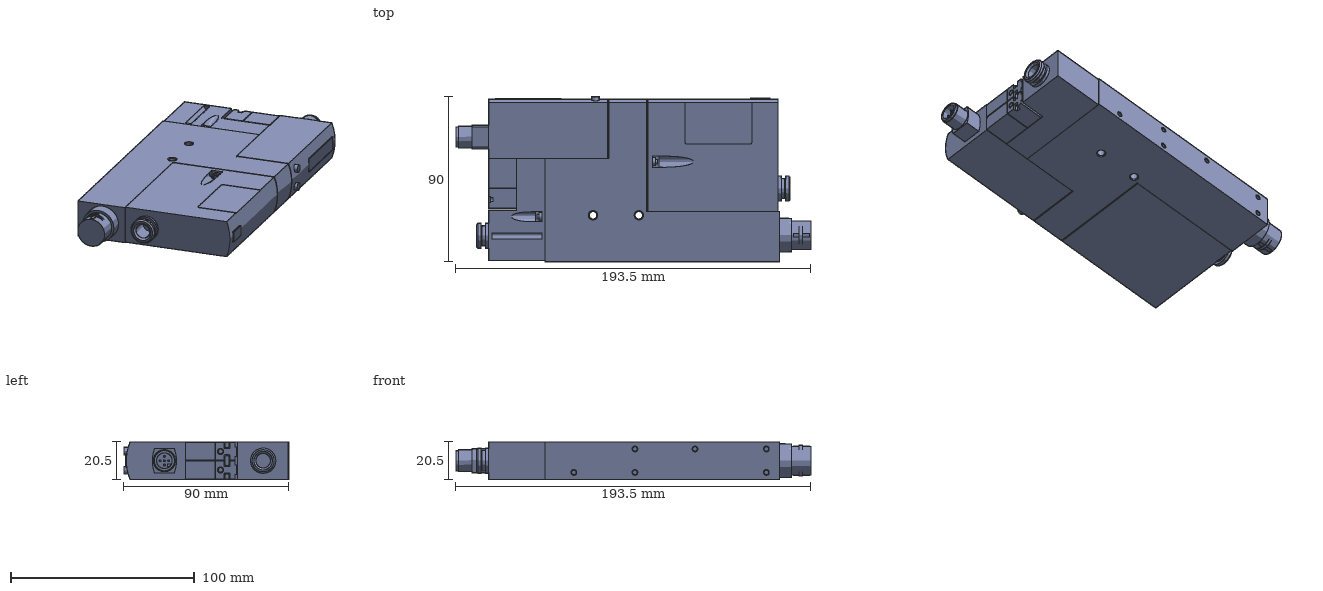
import cadquery as cq
import math


THICKNESS = 20.5
HALF = THICKNESS / 2
BASE_RIGHT = 158.5
SUCTION_RIGHT = 157.8
BACK_EDGE = 86.7
BACK_CROWN = 88.7
OVERSHOOT = 2.0

SEAM_GAP = 0.5
MODULE_FRONT = 56.3
MODULE_RIGHT = 64.9
WEB_LEFT = MODULE_RIGHT + SEAM_GAP
WEB_RIGHT = 86.2
SUCTION_LEFT = WEB_RIGHT + SEAM_GAP
SUCTION_FRONT = 27.5
VALVE_BLOCK_RIGHT = 30.8
VALVE_BLOCK_FRONT = 0.5

MOUNT_X = (57.0, 81.9)
MOUNT_Y = 25.4
MOUNT_DIA = 4.0
MOUNT_MOUTH_DIA = 5.0
TAP_DIA = 2.5
TAP_MOUTH_DIA = 3.1
TAP_DEPTH = 5.8
TAP_Z = 6.4
TAP_X_UPPER = (79.8, 112.5, 151.4)
TAP_X_LOWER = (46.5, 79.8, 151.4)

SILENCER_Y = 14.5
SILENCER_LENGTH = 17.2
SILENCER_DIA = 15.7
COLLAR_LENGTH = 6.5
COLLAR_DIA = 18.5
COLLAR_MIDDLE_DIA = 18.5
COLLAR_TIP_DIA = 18.2
CATCH_START = 10.6
CATCH_WIDTH = 1.7
CATCH_DIA = 12.5
CATCH_HEIGHT = 0.5
RAIL_START = 7.7
RAIL_END = 16.3
RAIL_WIDTH = 2.0
RAIL_HEIGHT = 0.2

PLUG_Y = 68.0
PLUG_LENGTH = 17.8
PLUG_NUT_LENGTH = 9.0
PLUG_NUT_SIZE = 13.2
PLUG_NUT_FLAT = 10.8
PLUG_DIA = 12.0
PLUG_TIP_DIA = 11.0
PLUG_TIP_LENGTH = 1.4
PLUG_BORE_DIA = 8.5
PLUG_BORE_DEPTH = 7.7
PLUG_PIN_DIA = 1.0
PLUG_PIN_PITCH = 2.3
PLUG_PIN_LENGTH = 5.8
PLUG_KEY_SIZE = 1.5
PLUG_KEY_OFFSET = 2.5

DISPLAY_LEFT = 3.9
DISPLAY_RIGHT = 39.5
DISPLAY_HEIGHT = 7.7
DISPLAY_PROUD = 0.2
BUTTON_X = 58.3
BUTTON_Z = 5.2
BUTTON_DIA = 4.3
BUTTON_TIP = 90.0
BACK_PLATE_LEFT = 142.9
BACK_PLATE_RIGHT = 153.3
BACK_PLATE_HEIGHT = 5.8
BACK_PLATE_TIP = 89.2

FITTING_DIA = 13.7
FITTING_NECK_DIA = 11.0
FITTING_GROOVE_DIA = 10.0
FITTING_TIP_DIA = 12.0
FITTING_BORE_DIA = 8.0
FITTING_MOUTH_DIA = 10.0
FITTING_FLANGE_END = 1.7
FITTING_NECK_END = 3.5
FITTING_RELEASE_START = 4.0
FITTING_RELEASE_END = 5.8
FITTING_LENGTH = 6.5
FITTING_BORE_DEPTH = 11.6
SUCTION_FITTING_Y = 39.9
SUPPLY_FITTING_Y = 14.1

VALVE_RIGHT = 15.1
VALVE_FRONT = 28.7
VALVE_SPLIT_Y = 40.0
VALVE_STEP = 0.4
VALVE_GAP = 0.5
VALVE_RELIEF = 0.8
VALVE_RELIEF_HALF_HEIGHT = 2.3
VALVE_RELIEF_OUTER_Z = 7.5
VALVE_SEAM = 0.5
VALVE_SEAM_DEPTH = 1.2
SPLIT_WIDTH = 0.2
NOTCH_Y = 33.9
NOTCH_WIDTH = 3.3
NOTCH_DEPTH = 2.5
NOTCH_LEDGE_DEPTH = 1.2
NOTCH_LEDGE = 0.5
NOTCH_CORNER = 0.8
NOTCH_HALF_HEIGHT = 3.3
NOTCH_OUTER_Z = 6.5
OVERRIDE_Y = 37.4
OVERRIDE_Z = 5.0
OVERRIDE_DIA = 3.3
OVERRIDE_PIN_DIA = 2.5
OVERRIDE_DEPTH = 1.0

SCREW_POCKET_LENGTH = 3.5
SCREW_POCKET_DEPTH = 5.5
SCREW_DEPTH = 3.1
SCREW_DIA = 4.5
SCREW_LENGTH = 1.5
SCREW_TIP_DIA = 2.5
SCREW_TIP_LENGTH = 2.5
SUCTION_FLUTE_TILT = 11.0
SUCTION_FLUTE_DIA = 6.2
SUCTION_FLUTE_WALL = 89.5
SUCTION_FLUTE_TIP = 111.7
SUCTION_FLUTE_Y = 54.5
SUPPLY_FLUTE_TILT = 15.0
SUPPLY_FLUTE_DIA = 5.5
SUPPLY_FLUTE_WALL = 29.0
SUPPLY_FLUTE_TIP = 12.5
SUPPLY_FLUTE_Y = 24.5
GROOVE_LEFT = 1.7
GROOVE_RIGHT = 29.0
GROOVE_Y = 14.1
GROOVE_DIA = 3.3
LABEL_LEFT = 107.0
LABEL_RIGHT = 143.5
LABEL_FRONT = 64.0
LABEL_CORNER = 1.2
LABEL_DEPTH = 0.2


def block(x0, x1, y0, y1, z0=-HALF, z1=HALF):
    """Box between two opposite corners."""
    return cq.Workplane("XY").box(x1 - x0, y1 - y0, z1 - z0, centered=False).translate((x0, y0, z0))


def crowned_block(x0, x1, y0):
    """Full-thickness block whose back face is a shallow arc."""
    return (
        cq.Workplane("YZ", origin=(x0, 0, 0))
        .moveTo(y0, -HALF)
        .lineTo(BACK_EDGE, -HALF)
        .threePointArc((BACK_CROWN, 0), (BACK_EDGE, HALF))
        .lineTo(y0, HALF)
        .close()
        .extrude(x1 - x0)
    )


def rod(start, direction, dia, length):
    """Cylinder from a start point along a direction."""
    return cq.Workplane(cq.Solid.makeCylinder(dia / 2, length, cq.Vector(*start), cq.Vector(*direction)))


def cone(start, direction, start_dia, end_dia):
    """45 degree cone from a start point along a direction."""
    height = abs(start_dia - end_dia) / 2
    solid = cq.Solid.makeCone(start_dia / 2, end_dia / 2, height, cq.Vector(*start), cq.Vector(*direction))
    return cq.Workplane(solid)


def turned(profile, x, y, side):
    """Solid of revolution about an X axis; profile holds (distance from face, diameter)."""
    points = [(0, 0)]
    points += [(side * distance, dia / 2) for distance, dia in profile]
    points.append((side * profile[-1][0], 0))
    outline = cq.Workplane("XY").polyline(points).close()
    return outline.revolve(360, (0, 0, 0), (1, 0, 0)).translate((x, y, 0))


def add_hose_fitting(body, x, y, side):
    """Push-in fitting on an end face; side is -1 for left and +1 for right."""
    profile = [
        (0, FITTING_DIA),
        (FITTING_FLANGE_END, FITTING_DIA),
        (FITTING_FLANGE_END, FITTING_NECK_DIA),
        (FITTING_NECK_END, FITTING_NECK_DIA),
        (FITTING_NECK_END, FITTING_GROOVE_DIA),
        (FITTING_RELEASE_START, FITTING_GROOVE_DIA),
        (FITTING_RELEASE_START, FITTING_DIA),
        (FITTING_RELEASE_END, FITTING_DIA),
        (FITTING_LENGTH, FITTING_TIP_DIA),
    ]
    tip = (x + side * FITTING_LENGTH, y, 0)
    inward = (-side, 0, 0)
    bore = rod(tip, inward, FITTING_BORE_DIA, FITTING_BORE_DEPTH)
    mouth = cone(tip, inward, FITTING_MOUTH_DIA, FITTING_BORE_DIA)
    return body.union(turned(profile, x, y, side)).cut(bore).cut(mouth)


def cut_flute(body, wall_x, tip_x, y, dia, tilt_degrees):
    """Sloping round flute that ends in an upright pocket, where a screw shows in the end wall."""
    side = math.copysign(1, wall_x - tip_x)
    tilt = math.radians(tilt_degrees)
    axis_x = tip_x + side * dia / 2 / math.sin(tilt)
    slope = (side * math.cos(tilt), 0, -math.sin(tilt))
    reach = 2 * abs(wall_x - tip_x)
    start = (axis_x - reach * slope[0], y, HALF - reach * slope[2])
    pocket_x = wall_x - side * SCREW_POCKET_LENGTH
    window = block(min(pocket_x, tip_x), max(pocket_x, tip_x), y - dia, y + dia, -HALF, THICKNESS)
    flute = rod(start, slope, dia, 2 * reach).intersect(window)

    x0, x1 = sorted((pocket_x, wall_x))
    pocket = block(x0, x1, y - dia / 2, y + dia / 2, HALF - SCREW_POCKET_DEPTH, HALF)
    screw_root = (wall_x, y, HALF - SCREW_DEPTH)
    outward = (-side, 0, 0)
    body = body.cut(flute).cut(pocket)
    body = body.union(rod(screw_root, outward, SCREW_DIA, SCREW_LENGTH))
    return body.union(rod(screw_root, outward, SCREW_TIP_DIA, SCREW_TIP_LENGTH))


def add_silencer(body):
    """Stepped silencer with a snap catch and a rail on its top and bottom."""
    outline = (
        cq.Workplane("XY")
        .lineTo(0, COLLAR_DIA / 2)
        .threePointArc((COLLAR_LENGTH / 2, COLLAR_MIDDLE_DIA / 2), (COLLAR_LENGTH, COLLAR_TIP_DIA / 2))
        .lineTo(COLLAR_LENGTH, SILENCER_DIA / 2)
        .lineTo(SILENCER_LENGTH, SILENCER_DIA / 2)
        .lineTo(SILENCER_LENGTH, 0)
        .close()
    )
    silencer = outline.revolve(360, (0, 0, 0), (1, 0, 0))
    body = body.union(silencer.translate((BASE_RIGHT, SILENCER_Y, 0)))
    catch_offset = (SILENCER_DIA - CATCH_DIA) / 2 + CATCH_HEIGHT
    rail_top = SILENCER_DIA / 2 + RAIL_HEIGHT
    rail = block(
        BASE_RIGHT + RAIL_START,
        BASE_RIGHT + RAIL_END,
        SILENCER_Y - RAIL_WIDTH / 2,
        SILENCER_Y + RAIL_WIDTH / 2,
        -rail_top,
        rail_top,
    )
    body = body.union(rail)
    for side in (-1, 1):
        catch_start = (BASE_RIGHT + CATCH_START, SILENCER_Y, side * catch_offset)
        body = body.union(rod(catch_start, (1, 0, 0), CATCH_DIA, CATCH_WIDTH))
    return body


def cut_mounting_holes(body):
    """Through holes with a chamfered mouth on both faces."""
    for x in MOUNT_X:
        body = body.cut(rod((x, MOUNT_Y, -HALF), (0, 0, 1), MOUNT_DIA, THICKNESS))
        for side in (-1, 1):
            body = body.cut(cone((x, MOUNT_Y, side * HALF), (0, 0, -side), MOUNT_MOUTH_DIA, MOUNT_DIA))
    return body


def cut_front_taps(body):
    """Small blind holes with a chamfered mouth in the front face."""
    places = [(x, TAP_Z) for x in TAP_X_UPPER] + [(x, -TAP_Z) for x in TAP_X_LOWER]
    for x, z in places:
        body = body.cut(rod((x, 0, z), (0, 1, 0), TAP_DIA, TAP_DEPTH))
        body = body.cut(cone((x, 0, z), (0, 1, 0), TAP_MOUTH_DIA, TAP_DIA))
    return body


def make_base():
    body = block(VALVE_BLOCK_RIGHT, BASE_RIGHT, 0, SUCTION_FRONT)
    body = body.union(block(VALVE_BLOCK_RIGHT, WEB_RIGHT, 0, MODULE_FRONT))
    body = body.union(crowned_block(WEB_LEFT, WEB_RIGHT, 0))
    body = cut_mounting_holes(body)
    body = cut_front_taps(body)
    return add_silencer(body)


def add_plug(body):
    """Round plug with pins and a coding key in its bore, on a nut with two flats and two bowed sides."""
    half_size = PLUG_NUT_SIZE / 2
    half_flat = PLUG_NUT_FLAT / 2
    nut = (
        cq.Workplane("YZ", origin=(-PLUG_NUT_LENGTH, PLUG_Y, 0))
        .moveTo(-half_flat, -half_size)
        .lineTo(half_flat, -half_size)
        .threePointArc((half_size, 0), (half_flat, half_size))
        .lineTo(-half_flat, half_size)
        .threePointArc((-half_size, 0), (-half_flat, -half_size))
        .close()
        .extrude(PLUG_NUT_LENGTH)
    )
    profile = [
        (0, PLUG_DIA),
        (PLUG_LENGTH - PLUG_TIP_LENGTH, PLUG_DIA),
        (PLUG_LENGTH - PLUG_TIP_LENGTH, PLUG_TIP_DIA),
        (PLUG_LENGTH, PLUG_TIP_DIA),
    ]
    body = body.union(nut).union(turned(profile, 0, PLUG_Y, -1))
    body = body.cut(rod((-PLUG_LENGTH, PLUG_Y, 0), (1, 0, 0), PLUG_BORE_DIA, PLUG_BORE_DEPTH))

    floor_x = PLUG_BORE_DEPTH - PLUG_LENGTH
    for step_y, step_z in ((0, 0), (1, 0), (-1, 0), (0, 1), (0, -1)):
        pin_root = (floor_x, PLUG_Y + step_y * PLUG_PIN_PITCH, step_z * PLUG_PIN_PITCH)
        body = body.union(rod(pin_root, (-1, 0, 0), PLUG_PIN_DIA, PLUG_PIN_LENGTH))
    key = block(
        floor_x - PLUG_PIN_LENGTH,
        floor_x,
        PLUG_Y - PLUG_KEY_OFFSET - PLUG_KEY_SIZE / 2,
        PLUG_Y - PLUG_KEY_OFFSET + PLUG_KEY_SIZE / 2,
        -PLUG_KEY_OFFSET - PLUG_KEY_SIZE / 2,
        -PLUG_KEY_OFFSET + PLUG_KEY_SIZE / 2,
    )
    return body.union(key)


def add_operating_panel(body):
    """Display strip and two buttons on the crowned back."""
    display = block(
        DISPLAY_LEFT,
        DISPLAY_RIGHT,
        MODULE_FRONT,
        BACK_CROWN + DISPLAY_PROUD,
        -DISPLAY_HEIGHT / 2,
        DISPLAY_HEIGHT / 2,
    )
    body = body.union(display)
    for side in (-1, 1):
        root = (BUTTON_X, MODULE_FRONT, side * BUTTON_Z)
        body = body.union(rod(root, (0, 1, 0), BUTTON_DIA, BUTTON_TIP - MODULE_FRONT))
    return body


def make_control_module():
    body = crowned_block(0, MODULE_RIGHT, MODULE_FRONT)
    body = add_operating_panel(body)
    return add_plug(body)


def cut_valve_outlines(body):
    """Steps, gap and seams that set the two stacked valves off from the block."""
    gap_front = VALVE_FRONT - VALVE_GAP
    body = body.cut(block(0, VALVE_RIGHT, gap_front, VALVE_FRONT))
    for side in (-1, 1):
        z0, z1 = sorted((side * HALF, side * (HALF - VALVE_STEP)))
        body = body.cut(block(0, VALVE_RIGHT, VALVE_FRONT, MODULE_FRONT, z0, z1))
        groove_z = side * (HALF - VALVE_STEP - SPLIT_WIDTH)
        z0, z1 = sorted((side * HALF, groove_z))
        body = body.cut(block(0, VALVE_RIGHT, VALVE_SPLIT_Y, VALVE_SPLIT_Y + SPLIT_WIDTH, z0, z1))
    body = body.cut(block(0, SPLIT_WIDTH, VALVE_SPLIT_Y, VALVE_SPLIT_Y + SPLIT_WIDTH))
    seam = block(0, VALVE_SEAM_DEPTH, VALVE_FRONT, MODULE_FRONT, -VALVE_SEAM / 2, VALVE_SEAM / 2)
    return body.cut(seam)


def edge_and_middle_spans(half_height, outer_z):
    """Z ranges of a feature at the bottom, middle and top edge of the valves."""
    outer_end = HALF + OVERSHOOT
    return (-outer_end, -outer_z), (-half_height, half_height), (outer_z, outer_end)


def cut_valve_reliefs(body):
    """Wider stretches of the gap in front of the valves."""
    for z0, z1 in edge_and_middle_spans(VALVE_RELIEF_HALF_HEIGHT, VALVE_RELIEF_OUTER_Z):
        body = body.cut(block(0, VALVE_RIGHT, VALVE_FRONT, VALVE_FRONT + VALVE_RELIEF, z0, z1))
    return body


def cut_valve_notches(body):
    """Stepped, round-cornered notches at the bottom, middle and top of the valve faces."""
    for inset, depth in ((0, NOTCH_LEDGE_DEPTH), (NOTCH_LEDGE, NOTCH_DEPTH)):
        half_width = NOTCH_WIDTH / 2 - inset
        for z0, z1 in edge_and_middle_spans(NOTCH_HALF_HEIGHT - inset, NOTCH_OUTER_Z + inset):
            notch = block(0, depth, NOTCH_Y - half_width, NOTCH_Y + half_width, z0, z1)
            body = body.cut(notch.edges("|X").fillet(NOTCH_CORNER))
    return body


def cut_valve_overrides(body):
    """Manual override of each valve: a ring recess around a round pin."""
    for side in (-1, 1):
        place = (0, OVERRIDE_Y, side * OVERRIDE_Z)
        ring = rod(place, (1, 0, 0), OVERRIDE_DIA, OVERRIDE_DEPTH)
        pin = rod(place, (1, 0, 0), OVERRIDE_PIN_DIA, OVERRIDE_DEPTH)
        body = body.cut(ring.cut(pin))
    return body


def make_valve_block():
    body = block(0, VALVE_BLOCK_RIGHT, VALVE_BLOCK_FRONT, MODULE_FRONT)
    body = cut_valve_outlines(body)
    body = cut_valve_reliefs(body)
    body = cut_valve_notches(body)
    body = cut_valve_overrides(body)
    body = cut_flute(
        body, SUPPLY_FLUTE_WALL, SUPPLY_FLUTE_TIP, SUPPLY_FLUTE_Y, SUPPLY_FLUTE_DIA, SUPPLY_FLUTE_TILT
    )
    body = body.cut(rod((GROOVE_LEFT, GROOVE_Y, HALF), (1, 0, 0), GROOVE_DIA, GROOVE_RIGHT - GROOVE_LEFT))
    return add_hose_fitting(body, 0, SUPPLY_FITTING_Y, -1)


def make_suction_block():
    body = crowned_block(SUCTION_LEFT, SUCTION_RIGHT, SUCTION_FRONT)
    label = block(LABEL_LEFT, LABEL_RIGHT, LABEL_FRONT, BACK_CROWN, HALF - LABEL_DEPTH, HALF)
    body = body.cut(label.edges("|Z and <Y").fillet(LABEL_CORNER))
    back_plate = block(
        BACK_PLATE_LEFT,
        BACK_PLATE_RIGHT,
        BACK_EDGE,
        BACK_PLATE_TIP,
        -BACK_PLATE_HEIGHT / 2,
        BACK_PLATE_HEIGHT / 2,
    )
    body = body.union(back_plate)
    body = cut_flute(
        body, SUCTION_FLUTE_WALL, SUCTION_FLUTE_TIP, SUCTION_FLUTE_Y, SUCTION_FLUTE_DIA, SUCTION_FLUTE_TILT
    )
    return add_hose_fitting(body, SUCTION_RIGHT, SUCTION_FITTING_Y, 1)


base = make_base()
control_module = make_control_module()
valve_block = make_valve_block()
suction_block = make_suction_block()

result = cq.Compound.makeCompound(
    [
        *base.solids().vals(),
        *control_module.solids().vals(),
        *valve_block.solids().vals(),
        *suction_block.solids().vals(),
    ]
)